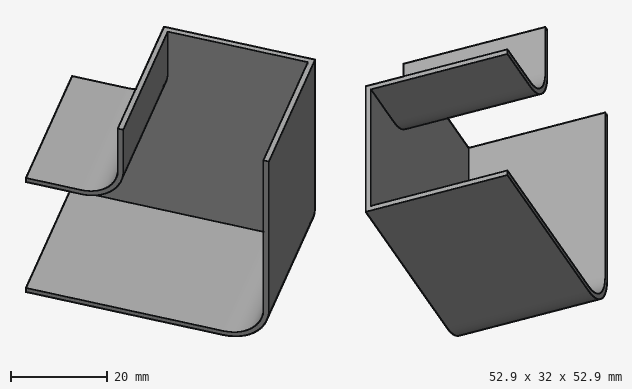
import cadquery as cq

duct_width = 32.9
duct_depth = 32.0
arm_length = 20.0
wall = 1.2
outer_bend_radius = 10.0
inner_bend_radius = 8.0

overall = arm_length + duct_width


def elbow_prism(inset, depth):
    """Solid L-shaped elbow with its sides moved inward by inset and its two ends kept in place."""
    low = inset
    high = overall - inset
    step = arm_length + inset
    outer_radius = outer_bend_radius - inset
    inner_radius = inner_bend_radius + inset

    inner_corner_height = overall - step
    return (
        cq.Workplane("XZ")
        .moveTo(0, low)
        .lineTo(high - outer_radius, low)
        .radiusArc((high, low + outer_radius), -outer_radius)
        .lineTo(high, overall)
        .lineTo(step, overall)
        .lineTo(step, inner_corner_height + inner_radius)
        .radiusArc((step - inner_radius, inner_corner_height), inner_radius)
        .lineTo(0, inner_corner_height)
        .close()
        .extrude(-depth)
    )


outer_body = elbow_prism(0, duct_depth)
channel = elbow_prism(wall, duct_depth - wall)

result = outer_body.cut(channel)